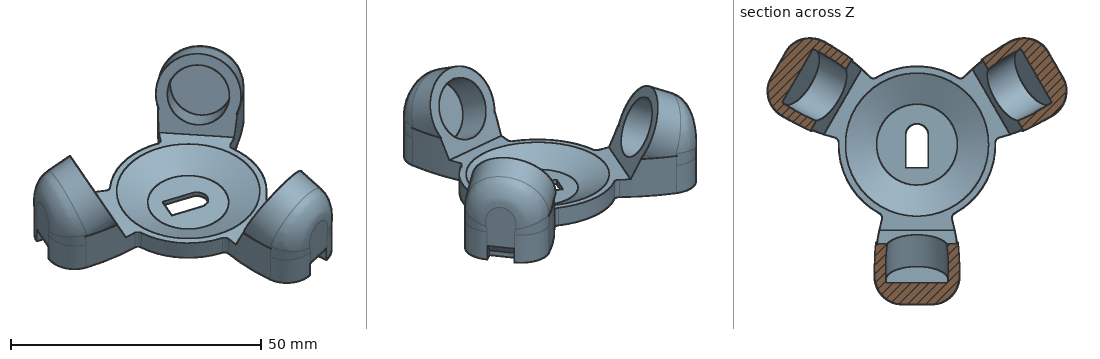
import cadquery as cq
import math

plate_radius = 15.7
plate_height = 3.95
dish_rim_radius = 14.3
dish_floor_radius = 8.1
dish_floor_height = 1.0
slot_width = 4.5
slot_bottom = -4.6
slot_top = 4.1

arm_count = 3
arm_reach = 31.95
head_radius = 8.55
face_tilt = 25.0
face_foot = 17.1
part_height = 19.25
end_rounding = 5.75
foot_height = 8.3
flank_radius = 44.85
flank_end = 26.55
arm_root = 11.95
neck_fillet = 1.0

socket_radius = 6.2
socket_depth = 7.0

notch_width = 5.55
notch_depth = 2.05
notch_wall_height = 1.1

tilt = math.radians(face_tilt)
head_center_height = part_height - head_radius * math.cos(tilt)
head_center_reach = face_foot + (head_center_height - plate_height) * math.tan(tilt)
sweep_length = 2 * arm_reach


def face_plane():
    """Plane of the socket face, centred on the head, with its normal pointing into the arm."""
    return cq.Workplane(
        cq.Plane(
            origin=(0, -head_center_reach, head_center_height),
            xDir=(1, 0, 0),
            normal=(0, -math.cos(tilt), -math.sin(tilt)),
        )
    )


def arm_plan(height):
    """Arm outline seen from above, flaring outward to its full width."""
    run = flank_end - arm_root
    root_half_width = head_radius - (flank_radius - math.sqrt(flank_radius**2 - run**2))
    mid_half_width = head_radius - (flank_radius - math.sqrt(flank_radius**2 - (run / 2) ** 2))
    mid_reach = (arm_root + flank_end) / 2
    return (
        cq.Workplane("XY")
        .moveTo(-root_half_width, -arm_root)
        .threePointArc((-mid_half_width, -mid_reach), (-head_radius, -flank_end))
        .lineTo(-head_radius, -arm_reach)
        .lineTo(head_radius, -arm_reach)
        .lineTo(head_radius, -flank_end)
        .threePointArc((mid_half_width, -mid_reach), (root_half_width, -arm_root))
        .close()
        .extrude(height)
    )


def rounded_body():
    """Arched bar swept along the tilted head axis, cut square at its outer end and rounded there."""
    drop = 2 * part_height
    bar = (
        face_plane()
        .moveTo(-head_radius, 0)
        .threePointArc((0, head_radius), (head_radius, 0))
        .lineTo(head_radius, -drop)
        .lineTo(-head_radius, -drop)
        .close()
        .extrude(sweep_length)
    )
    envelope = cq.Workplane("XY").box(
        2 * arm_reach, arm_reach, part_height + 0.6, centered=(True, False, False)
    ).translate((0, -arm_reach, 0))
    trimmed = bar.intersect(envelope)
    return trimmed.faces("<Y").edges("not <Z").fillet(end_rounding)


def notch():
    """Groove under the outer end, with a 45 degree sloping roof."""
    return (
        cq.Workplane("YZ")
        .moveTo(-arm_reach, 0)
        .lineTo(-arm_reach + notch_depth, 0)
        .lineTo(-arm_reach + notch_depth, notch_wall_height)
        .lineTo(-arm_reach, notch_wall_height + notch_depth)
        .close()
        .extrude(notch_width / 2, both=True)
    )


def arm_head():
    """Leaning cylindrical head merged with its flared foot."""
    body = rounded_body()
    surroundings = cq.Workplane("XY").box(
        2 * arm_reach, 4 * arm_reach, part_height + 0.6, centered=(True, True, False)
    )
    around_foot = surroundings.cut(arm_plan(foot_height))
    barrel_zone = (
        face_plane()
        .moveTo(-head_radius, 0)
        .threePointArc((0, -head_radius), (head_radius, 0))
        .lineTo(2 * head_radius, 0)
        .lineTo(2 * head_radius, 2 * head_radius)
        .lineTo(-2 * head_radius, 2 * head_radius)
        .lineTo(-2 * head_radius, 0)
        .close()
        .extrude(sweep_length)
    )
    flank_waste = around_foot.cut(barrel_zone)
    socket = face_plane().circle(socket_radius).extrude(socket_depth)
    return body.cut(flank_waste).cut(socket).cut(notch())


def around(shape):
    """The shape repeated at every arm position."""
    return [shape.rotate((0, 0, 0), (0, 0, 1), i * 360 / arm_count) for i in range(arm_count)]


def on_rim(edge):
    """True when a vertical edge stands on the outer circle of the plate."""
    center = edge.Center()
    return math.hypot(center.x, center.y) < plate_radius + neck_fillet / 2


def base():
    """Round plate with the arm necks blended into its rim."""
    plate = cq.Workplane("XY").circle(plate_radius).extrude(plate_height)
    inner_zone = cq.Workplane("XY").circle(face_foot + 2 * neck_fillet).extrude(plate_height)
    for neck in around(arm_plan(plate_height).intersect(inner_zone)):
        plate = plate.union(neck)
    return plate.edges("|Z").filter(on_rim).fillet(neck_fillet)


def dish():
    """Conical hollow of the plate."""
    return (
        cq.Workplane("XZ")
        .moveTo(0, dish_floor_height)
        .lineTo(dish_floor_radius, dish_floor_height)
        .lineTo(dish_rim_radius, plate_height)
        .lineTo(0, plate_height)
        .close()
        .revolve(360, (0, 0, 0), (0, 1, 0))
    )


def slot():
    """Through slot with a square end toward -Y and a round end toward +Y."""
    half_width = slot_width / 2
    return (
        cq.Workplane("XY")
        .moveTo(-half_width, slot_bottom)
        .lineTo(half_width, slot_bottom)
        .lineTo(half_width, slot_top - half_width)
        .threePointArc((0, slot_top), (-half_width, slot_top - half_width))
        .close()
        .extrude(plate_height)
    )


result = base()
for head in around(arm_head()):
    result = result.union(head)
result = result.cut(dish()).cut(slot())